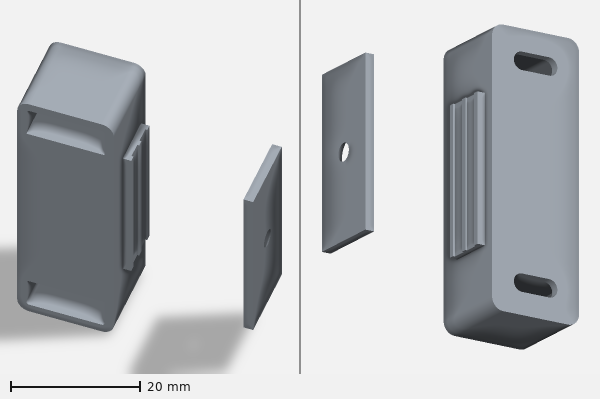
import cadquery as cq

HOUSING_WIDTH = 16.0
HOUSING_DEPTH = 14.0
HOUSING_HEIGHT = 47.0
HOUSING_CORNER_RADIUS = 2.0

WALL = 1.5
POCKET_WIDTH = HOUSING_WIDTH - 2 * WALL
POCKET_HEIGHT = 5.3
POCKET_CORNER_RADIUS = HOUSING_CORNER_RADIUS - WALL
POCKET_DEPTH = HOUSING_DEPTH - WALL

SLOT_LENGTH = 8.0
SLOT_HEIGHT = 3.0

CATCH_PROJECTION = 1.4
CATCH_DEPTH = 8.0
CATCH_HEIGHT = 25.0
CATCH_OFFSET_Y = 1.0
RIB_WIDTH = 1.0
GROOVE_COUNT = 2
GROOVE_DEPTH = 0.35
GROOVE_WIDTH = (CATCH_DEPTH - (GROOVE_COUNT + 1) * RIB_WIDTH) / GROOVE_COUNT

OVERALL_WIDTH = 38.8
PLATE_THICKNESS = 1.6
PLATE_DEPTH = 12.55
PLATE_HEIGHT = 29.05
COUNTERSINK_DIAMETER = 6.0
SCREW_HOLE_DIAMETER = 3.0

FRONT_Y = -HOUSING_DEPTH / 2
CATCH_START_X = HOUSING_WIDTH / 2
PLATE_START_X = OVERALL_WIDTH - HOUSING_WIDTH / 2 - PLATE_THICKNESS


def make_screw_pocket(end):
    """Pocket and slot to cut at the top (end = 1) or bottom (end = -1) of the housing."""
    outer_z = HOUSING_HEIGHT / 2 - WALL
    inner_z = outer_z - POCKET_HEIGHT
    pocket = (
        cq.Workplane("XY")
        .box(POCKET_WIDTH, POCKET_DEPTH, POCKET_HEIGHT)
        .edges("|Y and >Z" if end > 0 else "|Y and <Z")
        .fillet(POCKET_CORNER_RADIUS)
        .translate((0, FRONT_Y + POCKET_DEPTH / 2, end * (outer_z + inner_z) / 2))
    )
    slot = (
        cq.Workplane("XZ")
        .center(0, end * (inner_z + SLOT_HEIGHT / 2))
        .slot2D(SLOT_LENGTH, SLOT_HEIGHT)
        .extrude(HOUSING_DEPTH / 2, both=True)
    )
    return pocket.union(slot)


def make_catch():
    """Grooved block that projects from the +X face of the housing."""
    catch = cq.Workplane("XY").box(CATCH_PROJECTION, CATCH_DEPTH, CATCH_HEIGHT)
    groove_x = (CATCH_PROJECTION - GROOVE_DEPTH) / 2
    for index in range(GROOVE_COUNT):
        groove_y = (index - (GROOVE_COUNT - 1) / 2) * (GROOVE_WIDTH + RIB_WIDTH)
        groove = cq.Workplane("XY").box(GROOVE_DEPTH, GROOVE_WIDTH, CATCH_HEIGHT)
        catch = catch.cut(groove.translate((groove_x, groove_y, 0)))
    return catch.translate((CATCH_START_X + CATCH_PROJECTION / 2, CATCH_OFFSET_Y, 0))


def make_housing():
    """Housing block with its two screw pockets and the catch."""
    housing = (
        cq.Workplane("XY")
        .box(HOUSING_WIDTH, HOUSING_DEPTH, HOUSING_HEIGHT)
        .edges("|Y")
        .fillet(HOUSING_CORNER_RADIUS)
    )
    for end in (1, -1):
        housing = housing.cut(make_screw_pocket(end))
    return housing.union(make_catch())


def make_strike_plate():
    """Flat plate with a conical screw hole that narrows towards +X."""
    plate = (
        cq.Workplane("XY")
        .box(PLATE_THICKNESS, PLATE_DEPTH, PLATE_HEIGHT)
        .translate((PLATE_START_X + PLATE_THICKNESS / 2, 0, 0))
    )
    screw_hole = cq.Solid.makeCone(
        COUNTERSINK_DIAMETER / 2,
        SCREW_HOLE_DIAMETER / 2,
        PLATE_THICKNESS,
        cq.Vector(PLATE_START_X, 0, 0),
        cq.Vector(1, 0, 0),
    )
    return plate.cut(cq.Workplane(screw_hole))


housing = make_housing()
strike_plate = make_strike_plate()

result = cq.Compound.makeCompound([housing.val(), strike_plate.val()])